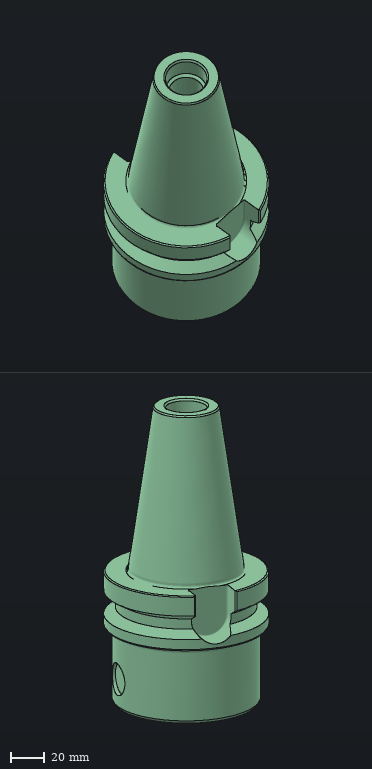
import cadquery as cq
import math


total_height = 187.8
taper_length = 101.8
gauge_z = total_height - taper_length
flange_gap = 3.0
flange_height = 35.0
flange_top_z = gauge_z - flange_gap
flange_bottom_z = flange_top_z - flange_height

gauge_radius = 34.925
taper_half_rate = 7 / 48
taper_tip_radius = gauge_radius - taper_length * taper_half_rate
tip_chamfer_height = 1.0
tip_chamfer_width = 0.6
neck_fillet = 1.5

flange_radius = 50.0
flange_top_chamfer_width = 1.0
flange_top_chamfer_height = flange_top_chamfer_width * math.tan(math.radians(30))
flange_bottom_chamfer = 1.1
groove_radius = 42.75
groove_side_rise = (flange_radius - groove_radius) * math.tan(math.radians(30))
groove_lower_rim_z = 55.5
groove_upper_rim_z = 70.4

barrel_radius = 45.0
barrel_fillet = 3.0
barrel_chamfer_height = 2.0
barrel_chamfer_width = barrel_chamfer_height * math.tan(math.radians(30))

bore_radius = 10.5
counterbore_radius = 12.5
counterbore_depth = 13.0
counterbore_cone_height = 1.2
mouth_radius = 13.5
mouth_chamfer_height = 1.3

slot_width = 25.7
slot_floor_x = 35.4
slot_bottom_z = 51.6
slot_floor_fillet = 1.0
slot_edge_chamfer = 1.2
slot_overshoot = 10.0

screw_radius = 10.0
screw_z = 19.0
screw_inner_y = 12.0
screw_outer_y = 42.0


def turned_blank():
    """Outer shape of the holder without bore, slots or screw hole."""
    arc_mid = 1 - math.sqrt(0.5)
    return (
        cq.Workplane("XZ")
        .moveTo(0, 0)
        .lineTo(barrel_radius - barrel_chamfer_width, 0)
        .lineTo(barrel_radius, barrel_chamfer_height)
        .lineTo(barrel_radius, flange_bottom_z - barrel_fillet)
        .threePointArc(
            (barrel_radius + barrel_fillet * arc_mid, flange_bottom_z - barrel_fillet * arc_mid),
            (barrel_radius + barrel_fillet, flange_bottom_z),
        )
        .lineTo(flange_radius - flange_bottom_chamfer, flange_bottom_z)
        .lineTo(flange_radius, flange_bottom_z + flange_bottom_chamfer)
        .lineTo(flange_radius, groove_lower_rim_z)
        .lineTo(groove_radius, groove_lower_rim_z + groove_side_rise)
        .lineTo(groove_radius, groove_upper_rim_z - groove_side_rise)
        .lineTo(flange_radius, groove_upper_rim_z)
        .lineTo(flange_radius, flange_top_z - flange_top_chamfer_height)
        .lineTo(flange_radius - flange_top_chamfer_width, flange_top_z)
        .lineTo(gauge_radius + neck_fillet, flange_top_z)
        .threePointArc(
            (gauge_radius + neck_fillet * arc_mid, flange_top_z + neck_fillet * arc_mid),
            (gauge_radius, flange_top_z + neck_fillet),
        )
        .lineTo(gauge_radius, gauge_z)
        .lineTo(
            taper_tip_radius + tip_chamfer_height * taper_half_rate,
            total_height - tip_chamfer_height,
        )
        .lineTo(taper_tip_radius - tip_chamfer_width, total_height)
        .lineTo(0, total_height)
        .close()
        .revolve(360, (0, 0, 0), (0, 1, 0))
    )


def axial_bore():
    """Through bore with a coned counterbore and a chamfered mouth at the taper end."""
    counterbore_floor_z = total_height - counterbore_depth
    return (
        cq.Workplane("XZ")
        .moveTo(0, 0)
        .lineTo(bore_radius, 0)
        .lineTo(bore_radius, counterbore_floor_z - counterbore_cone_height)
        .lineTo(counterbore_radius, counterbore_floor_z)
        .lineTo(counterbore_radius, total_height - mouth_chamfer_height)
        .lineTo(mouth_radius, total_height)
        .lineTo(0, total_height)
        .close()
        .revolve(360, (0, 0, 0), (0, 1, 0))
    )


def drive_slot():
    """Round-bottomed slot cutter on the +X side, open at the top and at the outer end."""
    half_width = slot_width / 2
    round_z = slot_bottom_z + half_width
    top_z = flange_top_z + slot_overshoot
    return (
        cq.Workplane("YZ", origin=(slot_floor_x, 0, 0))
        .moveTo(half_width, top_z)
        .lineTo(half_width, round_z)
        .threePointArc((0, slot_bottom_z), (-half_width, round_z))
        .lineTo(-half_width, top_z)
        .close()
        .extrude(flange_radius - slot_floor_x + slot_overshoot)
        .faces("<X")
        .edges("not >Z")
        .fillet(slot_floor_fillet)
    )


def slot_edge_bevels():
    """Wedges that bevel the outer upright edges of the +X slot above the groove."""
    half_width = slot_width / 2
    edge_x = math.sqrt(flange_radius**2 - half_width**2)
    bevel = (
        cq.Workplane("XY", origin=(0, 0, groove_upper_rim_z - groove_side_rise))
        .moveTo(edge_x - slot_edge_chamfer, half_width)
        .lineTo(edge_x + slot_edge_chamfer, half_width + 2 * slot_edge_chamfer)
        .lineTo(edge_x + slot_edge_chamfer, half_width)
        .close()
        .extrude(flange_top_z - groove_upper_rim_z + groove_side_rise)
    )
    return bevel.union(bevel.mirror("XZ"))


def radial_cylinder(inner_y, outer_y):
    """Cylinder of the screw's size along +Y."""
    return (
        cq.Workplane("XZ", origin=(0, inner_y, screw_z))
        .circle(screw_radius)
        .extrude(inner_y - outer_y)
    )


holder = turned_blank().cut(axial_bore())
for slot_angle in (0, 180):
    for cutter in (drive_slot(), slot_edge_bevels()):
        holder = holder.cut(cutter.rotate((0, 0, 0), (0, 0, 1), slot_angle))
holder = holder.cut(radial_cylinder(0, barrel_radius))

clamping_screw = radial_cylinder(screw_inner_y, screw_outer_y)

result = cq.Compound.makeCompound([holder.val(), clamping_screw.val()])